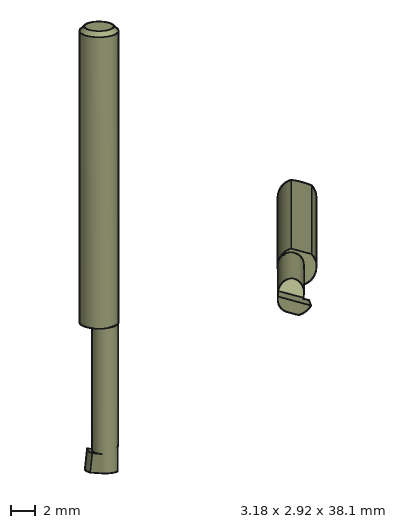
import cadquery as cq
import math

total_length = 38.1
shank_diameter = 3.175
shank_radius = shank_diameter / 2
flat_y = 1.3325
top_chamfer = 0.39

neck_length = 12.7
neck_radius = 1.07
neck_x = shank_radius - neck_radius

rake_height = 2.1
runout_angle = 47

tooth_height = 1.8
edge_x = -1.2
heel_x = -0.77
heel_y = -0.79
back_x = -0.46
flank_bulge = 0.05
lean_angle = 6

relief_angle = 5
dish_angle = 1.5


def make_shank():
    shank = (
        cq.Workplane("XY")
        .workplane(offset=neck_length)
        .circle(shank_radius)
        .extrude(total_length - neck_length)
        .faces(">Z")
        .chamfer(top_chamfer)
    )
    beyond_flat = (
        cq.Workplane("XY")
        .center(0, flat_y + shank_radius)
        .rect(2 * shank_diameter, shank_diameter)
        .extrude(total_length)
    )
    return shank.cut(beyond_flat)


def make_neck():
    return cq.Workplane("XY").center(neck_x, 0).circle(neck_radius).extrude(neck_length)


def tooth_section(plane, shift):
    """Draw the tooth outline with its free side moved by shift along X."""
    chord_x = heel_x - edge_x
    chord = math.hypot(chord_x, heel_y)
    middle_x = (edge_x + heel_x) / 2 + flank_bulge * heel_y / chord
    middle_y = heel_y / 2 - flank_bulge * chord_x / chord
    return (
        plane.moveTo(neck_x, 0)
        .lineTo(edge_x + shift, 0)
        .threePointArc((middle_x + shift, middle_y), (heel_x + shift, heel_y))
        .lineTo(back_x + shift, -neck_radius)
        .lineTo(neck_x, -neck_radius)
        .close()
    )


def make_tooth():
    bottom = tooth_section(cq.Workplane("XY"), 0)
    lean = tooth_height * math.tan(math.radians(lean_angle))
    top_plane = bottom.workplane(offset=tooth_height)
    return tooth_section(top_plane, lean).loft(ruled=True)


def make_rake_cutter():
    runout_depth = shank_diameter
    runout_rise = runout_depth * math.tan(math.radians(runout_angle))
    return (
        cq.Workplane("YZ")
        .moveTo(0, -rake_height)
        .lineTo(0, rake_height)
        .lineTo(runout_depth, rake_height + runout_rise)
        .lineTo(runout_depth, -rake_height)
        .close()
        .extrude(shank_diameter, both=True)
    )


def make_end_cutter():
    """Block whose top passes through the cutting corner and tilts up towards +X and -Y."""
    size = 4 * shank_diameter
    return (
        cq.Workplane("XY")
        .box(size, size, size, centered=(True, True, False))
        .translate((0, 0, -size))
        .rotate((0, 0, 0), (1, 0, 0), -relief_angle)
        .rotate((0, 0, 0), (0, 1, 0), -dish_angle)
        .translate((edge_x, 0, 0))
    )


result = (
    make_shank()
    .union(make_neck())
    .union(make_tooth())
    .cut(make_rake_cutter())
    .cut(make_end_cutter())
)